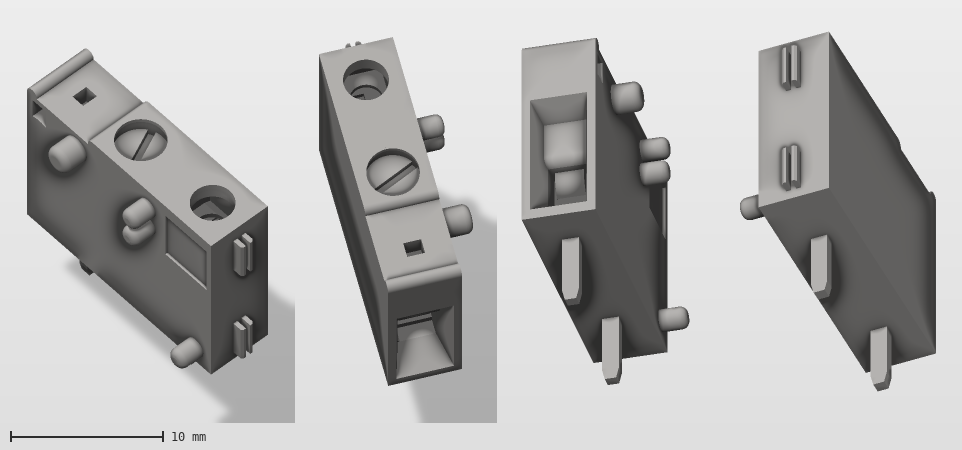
import cadquery as cq
import math


housing_length = 18.0
housing_width = 5.0
housing_height = 13.5
half_width = housing_width / 2

bead_radius = 0.47
notch_depth = 0.55
notch_end_x = 5.94

large_peg_diameter = 2.0
large_peg_length = 1.85
large_peg_rounding = 0.49
large_peg_place = (4.85, 11.48)
small_peg_diameter = 1.5
small_peg_length = 1.81
small_peg_rounding = 0.47
small_peg_places = [(11.82, 11.78), (11.82, 9.97), (16.5, 1.5)]

tab_reach = 0.85
tab_height = 3.0
tab_bottoms = [0.72, 9.37]
tab_outer_y = 0.53
tab_inner_y = 0.19
tab_chamfer = 0.15

window_start_x = 0.53
window_end_x = 1.83
window_bottom_z = 10.8
window_top_z = 12.48
window_floor_rise = 0.11

slot_start_x = 2.34
slot_end_x = 3.37
slot_width = 1.2
slot_depth = 1.5

recess_size = 4.02
recess_start_x = 13.53
recess_bottom_z = 8.48
recess_depth = 0.19

entry_width = 3.88
entry_bottom_z = 0.72
entry_top_z = 9.18
throat_depth = 2.2
throat_width = 2.58
throat_bottom_z = 1.55
throat_top_z = 5.07
brow_depth = 1.7
brow_top_z = 8.18
brow_bottom_z = 5.8
sill_back_x = 3.2
sill_chamfer = 0.15

screw_x = 8.35
well_rim_diameter = 3.5
well_rim_depth = 0.28
screw_diameter = 3.75
screw_top_depth = 1.17
screw_height = 1.5
screw_slot_width = 0.57
screw_slot_depth = 0.47
screw_slot_angle = 115

test_x = 15.38
test_diameter = 3.0
test_depth = 1.23
cavity_length = 3.85
cavity_width = 3.02
cavity_depth = 2.64
gutter_edge_y = 0.98
gutter_drop = 0.19
inner_x = 15.29
inner_diameter = 2.25
inner_depth = 3.02
pocket_start_x = 14.91
pocket_width = 1.05
pocket_top_depth = 3.4
groove_start_x = 14.65
groove_width = 0.17
groove_depth = 0.19

pin_first_x = 3.0
pin_pitch = 9.99
pin_thickness = 0.75
pin_width = 1.15
pin_reach = 4.7
pin_tip_length = 0.75
pin_tip_width = 0.77
pin_top_z = throat_bottom_z
plate_front_x = 3.3
plate_back_x = pin_first_x + pin_thickness
plate_bottom_z = 2.0
plate_rounding_top_z = 2.53
plate_rounding_back_x = 3.52
plate_right_y = -1.2
plate_left_y = 0.92
leaf_front_x = 2.75
leaf_bend_top_z = 4.8
leaf_bend_bottom_z = 3.8
leaf_bend_bottom_x = 3.05
leaf_bottom_z = 3.4
leaf_width = 1.96


def block(x0, x1, y0, y1, z0, z1):
    """Box between two opposite corners."""
    return cq.Workplane("XY").box(x1 - x0, y1 - y0, z1 - z0, centered=False).translate((x0, y0, z0))


def side_profile(y):
    """Sketch plane at a given Y with X to the right and Z up; it extrudes towards -Y."""
    return cq.Workplane("XZ", origin=(0, y, 0))


def well(x, diameter, top_depth, bottom_depth):
    """Upright cylinder on the parting plane between two depths below the housing top."""
    plane = cq.Workplane("XY", origin=(x, 0, housing_height - bottom_depth))
    return plane.circle(diameter / 2).extrude(bottom_depth - top_depth)


def housing_block():
    bead_center_z = housing_height - bead_radius
    notch_floor_z = housing_height - notch_depth
    corner = bead_radius * math.sqrt(0.5)
    outline = (
        side_profile(half_width)
        .moveTo(0, 0)
        .lineTo(0, bead_center_z)
        .threePointArc((bead_radius, housing_height), (2 * bead_radius, bead_center_z))
        .lineTo(2 * bead_radius, notch_floor_z)
        .lineTo(notch_end_x, notch_floor_z)
        .lineTo(notch_end_x, bead_center_z)
        .threePointArc(
            (notch_end_x + bead_radius - corner, bead_center_z + corner),
            (notch_end_x + bead_radius, housing_height),
        )
        .lineTo(housing_length, housing_height)
        .lineTo(housing_length, 0)
        .close()
    )
    return outline.extrude(housing_width)


def peg(place, diameter, length, rounding):
    body = side_profile(-half_width).center(*place).circle(diameter / 2).extrude(length)
    return body.faces("<Y").edges().fillet(rounding)


def tab(bottom_z, side):
    """One tab; side is +1 for the +Y half and -1 for the -Y half."""
    tip_x = housing_length + tab_reach
    outline = [
        (housing_length, side * tab_inner_y),
        (tip_x, side * tab_inner_y),
        (tip_x, side * (tab_outer_y - tab_chamfer)),
        (tip_x - tab_chamfer, side * tab_outer_y),
        (housing_length, side * tab_outer_y),
    ]
    return cq.Workplane("XY", origin=(0, 0, bottom_z)).polyline(outline).close().extrude(tab_height)


def window_cut():
    middle_x = (window_start_x + window_end_x) / 2
    outline = (
        side_profile(0)
        .moveTo(window_start_x, window_top_z)
        .lineTo(window_start_x, window_bottom_z)
        .threePointArc((middle_x, window_bottom_z + window_floor_rise), (window_end_x, window_bottom_z))
        .lineTo(window_end_x, window_top_z)
        .close()
    )
    return outline.extrude(half_width)


def slot_cut():
    top_z = housing_height - notch_depth
    return block(slot_start_x, slot_end_x, -slot_width / 2, slot_width / 2, top_z - slot_depth, top_z)


def recess_cut():
    return block(
        recess_start_x, recess_start_x + recess_size,
        -half_width, recess_depth - half_width,
        recess_bottom_z, recess_bottom_z + recess_size,
    )


def wire_entry_cut():
    """Funnel tapering in Y, with a rounded brow above the throat and the clamp chamber behind it."""
    funnel = (
        side_profile(half_width)
        .moveTo(0, entry_bottom_z)
        .lineTo(throat_depth, throat_bottom_z)
        .lineTo(throat_depth, throat_top_z)
        .radiusArc((brow_depth, brow_bottom_z), brow_bottom_z - throat_top_z)
        .lineTo(brow_depth, brow_top_z)
        .lineTo(0, entry_top_z)
        .close()
        .extrude(housing_width)
    )
    taper_outline = [
        (0, -entry_width / 2),
        (throat_depth, -throat_width / 2),
        (throat_depth, throat_width / 2),
        (0, entry_width / 2),
    ]
    taper = cq.Workplane("XY").polyline(taper_outline).close().extrude(housing_height)
    side_y = throat_width / 2
    sill = block(throat_depth, sill_back_x, -side_y, side_y, throat_bottom_z, throat_top_z)
    sill = sill.edges("|X and <Z and >Y").chamfer(sill_chamfer)
    chamber = block(throat_depth, plate_back_x, -side_y, side_y, plate_bottom_z, throat_top_z)
    return funnel.intersect(taper).union(sill).union(chamber)


def screw_well_cut():
    rim = well(screw_x, well_rim_diameter, 0, well_rim_depth)
    bore = well(screw_x, screw_diameter, well_rim_depth, screw_top_depth + screw_height)
    return rim.union(bore)


def test_hole_cut():
    """Round hole, cavity with a sloped gutter along +Y, and a smaller hole with a groove and a round pocket."""
    cavity_z = housing_height - cavity_depth
    inner_z = housing_height - inner_depth
    cavity_start_x = test_x - cavity_length / 2
    cavity_side_y = cavity_width / 2

    hole = well(test_x, test_diameter, 0, test_depth)
    cavity = block(
        cavity_start_x, cavity_start_x + cavity_length,
        -cavity_side_y, cavity_side_y,
        cavity_z, housing_height - test_depth,
    )
    gutter_outline = [
        (gutter_edge_y, cavity_z),
        (cavity_side_y, cavity_z),
        (cavity_side_y, cavity_z - gutter_drop),
    ]
    gutter_plane = cq.Workplane("YZ", origin=(cavity_start_x, 0, 0))
    gutter = gutter_plane.polyline(gutter_outline).close().extrude(cavity_length)
    inner_hole = well(inner_x, inner_diameter, cavity_depth, inner_depth)
    groove = block(
        groove_start_x, groove_start_x + groove_width,
        -gutter_edge_y, gutter_edge_y,
        inner_z - groove_depth, inner_z,
    )
    return hole.union(cavity).union(gutter).union(inner_hole).union(groove).union(test_pocket_cut())


def test_pocket_cut():
    """Pocket in the +Y half of the smaller hole; its floor is a quarter round falling towards -X."""
    inner_z = housing_height - inner_depth
    pocket_end_x = pocket_start_x + pocket_width
    crest_z = housing_height - pocket_top_depth
    pocket = (
        side_profile(inner_diameter / 2)
        .moveTo(pocket_start_x, inner_z)
        .lineTo(pocket_start_x, crest_z - pocket_width)
        .radiusArc((pocket_end_x, crest_z), pocket_width)
        .lineTo(pocket_end_x, inner_z)
        .close()
        .extrude(inner_diameter / 2)
    )
    return pocket.intersect(well(inner_x, inner_diameter, inner_depth, pocket_top_depth + pocket_width))


def pin(start_x):
    """Flat pin whose lower end tapers in Y."""
    half = pin_width / 2
    half_tip = pin_tip_width / 2
    outline = [
        (-half, pin_top_z),
        (-half, pin_tip_length - pin_reach),
        (-half_tip, -pin_reach),
        (half_tip, -pin_reach),
        (half, pin_tip_length - pin_reach),
        (half, pin_top_z),
    ]
    return cq.Workplane("YZ", origin=(start_x, 0, 0)).polyline(outline).close().extrude(pin_thickness)


def clamp():
    """Back plate with a rounded lower edge and a bent leaf in front, joined to the first pin by a neck."""
    plate = (
        side_profile(plate_left_y)
        .moveTo(plate_front_x, throat_top_z)
        .lineTo(plate_front_x, plate_rounding_top_z)
        .tangentArcPoint((plate_rounding_back_x, plate_bottom_z), relative=False)
        .lineTo(plate_back_x, plate_bottom_z)
        .lineTo(plate_back_x, throat_top_z)
        .close()
        .extrude(plate_left_y - plate_right_y)
    )
    leaf = (
        side_profile(leaf_width / 2)
        .moveTo(plate_back_x, throat_top_z)
        .lineTo(leaf_front_x, throat_top_z)
        .lineTo(leaf_front_x, leaf_bend_top_z)
        .tangentArcPoint((leaf_bend_bottom_x, leaf_bend_bottom_z), relative=False)
        .lineTo(plate_front_x, leaf_bottom_z)
        .lineTo(plate_back_x, leaf_bottom_z)
        .close()
        .extrude(leaf_width)
    )
    neck = block(plate_front_x, plate_back_x, -pin_width / 2, pin_width / 2, pin_top_z, plate_bottom_z)
    return plate.union(leaf).union(neck)


def screw_body():
    top_z = housing_height - screw_top_depth
    slot = (
        cq.Workplane("XY")
        .box(screw_diameter, screw_slot_width, 2 * screw_slot_depth)
        .rotate((0, 0, 0), (0, 0, 1), screw_slot_angle)
        .translate((screw_x, 0, top_z))
    )
    return well(screw_x, screw_diameter, screw_top_depth, screw_top_depth + screw_height).cut(slot)


pins = [pin(pin_first_x + i * pin_pitch) for i in range(2)]
clamp_terminal = pins[0].union(clamp())
plain_terminal = pins[1]
screw = screw_body()

shell = housing_block()
for opening in (window_cut(), slot_cut(), recess_cut(), wire_entry_cut(), screw_well_cut(), test_hole_cut()):
    shell = shell.cut(opening)
for terminal in (clamp_terminal, plain_terminal):
    shell = shell.cut(terminal)


def housing_half(side):
    """Half of the shell on one side of the parting plane, with its own tabs."""
    room = block(
        0, housing_length, min(0, side * half_width), max(0, side * half_width), 0, housing_height
    )
    half = shell.intersect(room)
    for bottom_z in tab_bottoms:
        half = half.union(tab(bottom_z, side))
    return half


rear_housing = housing_half(1)
front_housing = housing_half(-1).union(
    peg(large_peg_place, large_peg_diameter, large_peg_length, large_peg_rounding)
)
for place in small_peg_places:
    front_housing = front_housing.union(
        peg(place, small_peg_diameter, small_peg_length, small_peg_rounding)
    )

result = cq.Compound.makeCompound([
    front_housing.val(),
    rear_housing.val(),
    screw.val(),
    clamp_terminal.val(),
    plain_terminal.val(),
])